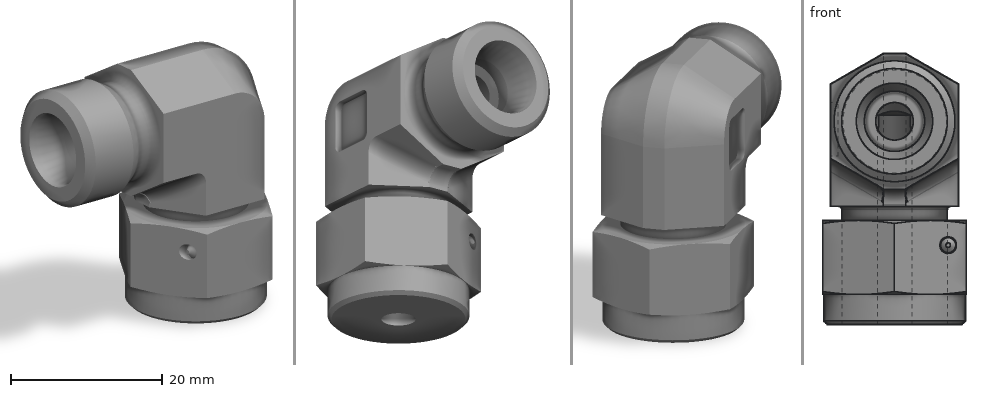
import cadquery as cq
import math


ARM_WIDTH = 17.0
ARM_FLAT = 8.95
THREAD_ARM_END = 12.0
NUT_ARM_END = 11.25
CROTCH_RADIUS = 2.0

PANEL_SIZE = 7.1
PANEL_OFFSET = -1.0
PANEL_CORNER = 1.0
PANEL_DEPTH = 1.0

THREAD_DIAMETER = 16.0
THREAD_CHAMFER = 1.0
PORT_TIP = 24.0
THREAD_START = 16.67
RELIEF_DIAMETER = 13.7
RELIEF_RADIUS = 1.0
RELIEF_CONE_ANGLE = 30.0

SEAT_DIAMETER = 8.0
SEAT_DEPTH = 5.0
SOCKET_DEPTH = 7.0
SEAT_HALF_ANGLE = 12.0
PORT_BORE = 5.0
PORT_BORE_OVERRUN = 0.65
NUT_BORE = 4.5
NUT_BORE_OVERRUN = 0.8
DRILL_HALF_ANGLE = 59.0

NECK_DIAMETER = 14.0
NECK_FILLET = 0.4

NUT_WIDTH = 19.0
NUT_TOP = -13.12
NUT_HEX_BOTTOM = -22.9
NUT_BOTTOM = -26.9
COLLAR_DIAMETER = 18.8
COLLAR_CHAMFER = 0.5
HEX_CHAMFER_ANGLE = 15.0

PIN_DIAMETER = 2.0
PIN_HOLE = 2.2
PIN_TIP = 0.6
PIN_X = 7.1
PIN_Z = -16.4


def tan_deg(angle):
    return math.tan(math.radians(angle))


PIN_FRONT = -(NUT_WIDTH / math.sqrt(3) - PIN_X * tan_deg(30))


def upper_arm_points():
    """Upper half of the truncated hexagon, as width and height from the arm axis."""
    side = ARM_WIDTH / 2
    shoulder = side * tan_deg(30)
    flat = (2 * shoulder - ARM_FLAT) / tan_deg(30)
    return [(-side, 0), (-side, shoulder), (-flat, ARM_FLAT), (flat, ARM_FLAT), (side, shoulder), (side, 0)]


def arm_points():
    upper = upper_arm_points()[1:-1]
    return upper + [(-x, -height) for x, height in upper]


def make_block():
    thread_arm = cq.Workplane("XZ").polyline(arm_points()).close().extrude(THREAD_ARM_END)
    nut_arm = cq.Workplane("XY").polyline(arm_points()).close().extrude(-NUT_ARM_END)
    outer_corner = (
        cq.Workplane("XZ").polyline(upper_arm_points()).close()
        .revolve(90, (0, 0, 0), (-1, 0, 0))
    )
    block = thread_arm.union(nut_arm).union(outer_corner)
    inner_corner = [
        edge for edge in block.edges().vals()
        if edge.Center().z < 0 and math.isclose(edge.Center().y, edge.Center().z, abs_tol=0.005)
    ]
    return block.newObject(inner_corner).fillet(CROTCH_RADIUS)


def make_panel():
    return (
        cq.Workplane("YZ", origin=(-ARM_WIDTH / 2, PANEL_OFFSET, PANEL_OFFSET))
        .rect(PANEL_SIZE, PANEL_SIZE).extrude(PANEL_DEPTH)
        .edges("|X").fillet(PANEL_CORNER)
    )


def make_threaded_port():
    """Turned spigot: relief groove with rounded ends, run-out cone, thread cylinder, tip chamfer."""
    thread = THREAD_DIAMETER / 2
    relief = RELIEF_DIAMETER / 2
    cone_length = (thread - relief) / tan_deg(RELIEF_CONE_ANGLE)
    cone_foot = THREAD_START - cone_length
    blend = RELIEF_RADIUS * tan_deg(RELIEF_CONE_ANGLE / 2)
    cone_rise = blend * math.sin(math.radians(RELIEF_CONE_ANGLE))
    cone_run = blend * math.cos(math.radians(RELIEF_CONE_ANGLE))
    return (
        cq.Workplane("XY")
        .moveTo(0, -THREAD_ARM_END)
        .lineTo(relief + RELIEF_RADIUS, -THREAD_ARM_END)
        .radiusArc((relief, -THREAD_ARM_END - RELIEF_RADIUS), -RELIEF_RADIUS)
        .lineTo(relief, -cone_foot + blend)
        .radiusArc((relief + cone_rise, -cone_foot - cone_run), -RELIEF_RADIUS)
        .lineTo(thread, -THREAD_START)
        .lineTo(thread, -PORT_TIP + THREAD_CHAMFER)
        .lineTo(thread - THREAD_CHAMFER, -PORT_TIP)
        .lineTo(0, -PORT_TIP)
        .close()
        .revolve(360, (0, 0, 0), (0, 1, 0))
    )


def make_port_bore():
    """Tapered seat, cylindrical tube socket, then a drilled bore with a pointed end."""
    seat = SEAT_DIAMETER / 2
    bore = PORT_BORE / 2
    socket_floor = -PORT_TIP + SOCKET_DEPTH
    return (
        cq.Workplane("XY")
        .moveTo(0, -PORT_TIP)
        .lineTo(seat + SEAT_DEPTH * tan_deg(SEAT_HALF_ANGLE), -PORT_TIP)
        .lineTo(seat, -PORT_TIP + SEAT_DEPTH)
        .lineTo(seat, socket_floor)
        .lineTo(bore, socket_floor)
        .lineTo(bore, PORT_BORE_OVERRUN)
        .lineTo(0, PORT_BORE_OVERRUN + bore / tan_deg(DRILL_HALF_ANGLE))
        .close()
        .revolve(360, (0, 0, 0), (0, 1, 0))
    )


def make_neck():
    neck = NECK_DIAMETER / 2
    return (
        cq.Workplane("XZ")
        .moveTo(0, -NUT_ARM_END)
        .lineTo(neck + NECK_FILLET, -NUT_ARM_END)
        .radiusArc((neck, -NUT_ARM_END - NECK_FILLET), -NECK_FILLET)
        .lineTo(neck, NUT_BOTTOM)
        .lineTo(0, NUT_BOTTOM)
        .close()
        .revolve(360, (0, 0, 0), (0, 1, 0))
    )


def make_nut_bore():
    bore = NUT_BORE / 2
    return (
        cq.Workplane("XZ")
        .moveTo(0, NUT_BOTTOM)
        .lineTo(bore, NUT_BOTTOM)
        .lineTo(bore, NUT_BORE_OVERRUN)
        .lineTo(0, NUT_BORE_OVERRUN + bore / tan_deg(DRILL_HALF_ANGLE))
        .close()
        .revolve(360, (0, 0, 0), (0, 1, 0))
    )


def make_pin_hole():
    """Hole for the pin, from outside the nut to the point nearest the neck axis."""
    return (
        cq.Workplane("XZ", origin=(PIN_X, 0, PIN_Z))
        .circle(PIN_HOLE / 2).extrude(NUT_WIDTH)
    )


def make_elbow():
    return (
        make_block()
        .cut(make_panel())
        .union(make_threaded_port())
        .union(make_neck())
        .cut(make_port_bore())
        .cut(make_nut_bore())
        .cut(make_pin_hole())
    )


def make_nut():
    """Hexagon with its corners chamfered from circles that touch the flats, and a round collar."""
    hexagon = (
        cq.Workplane("XY", origin=(0, 0, NUT_HEX_BOTTOM))
        .polygon(6, NUT_WIDTH, circumscribed=True).extrude(NUT_TOP - NUT_HEX_BOTTOM)
    )
    corner_radius = NUT_WIDTH / math.sqrt(3)
    flat_radius = NUT_WIDTH / 2
    drop = (corner_radius - flat_radius) * tan_deg(HEX_CHAMFER_ANGLE)
    corner_trim = (
        cq.Workplane("XZ")
        .moveTo(0, NUT_TOP)
        .lineTo(flat_radius, NUT_TOP)
        .lineTo(corner_radius, NUT_TOP - drop)
        .lineTo(corner_radius, NUT_HEX_BOTTOM + drop)
        .lineTo(flat_radius, NUT_HEX_BOTTOM)
        .lineTo(0, NUT_HEX_BOTTOM)
        .close()
        .revolve(360, (0, 0, 0), (0, 1, 0))
    )
    collar = (
        cq.Workplane("XY", origin=(0, 0, NUT_BOTTOM))
        .circle(COLLAR_DIAMETER / 2).extrude(NUT_HEX_BOTTOM - NUT_BOTTOM)
        .faces("<Z").chamfer(COLLAR_CHAMFER)
    )
    neck_hole = (
        cq.Workplane("XY", origin=(0, 0, NUT_BOTTOM))
        .circle(NECK_DIAMETER / 2).extrude(NUT_TOP - NUT_BOTTOM)
    )
    return hexagon.intersect(corner_trim).union(collar).cut(neck_hole).cut(make_pin_hole())


def make_pin():
    """Pin with a pointed front end, its tip level with the hexagon face at the pin axis."""
    return (
        cq.Workplane("XZ", origin=(PIN_X, 0, PIN_Z))
        .circle(PIN_DIAMETER / 2).extrude(-PIN_FRONT)
        .faces("<Y").chamfer((PIN_DIAMETER - PIN_TIP) / 2)
    )


elbow = make_elbow()
nut = make_nut()
pin = make_pin()
result = cq.Compound.makeCompound([elbow.solids().val(), nut.solids().val(), pin.val()])